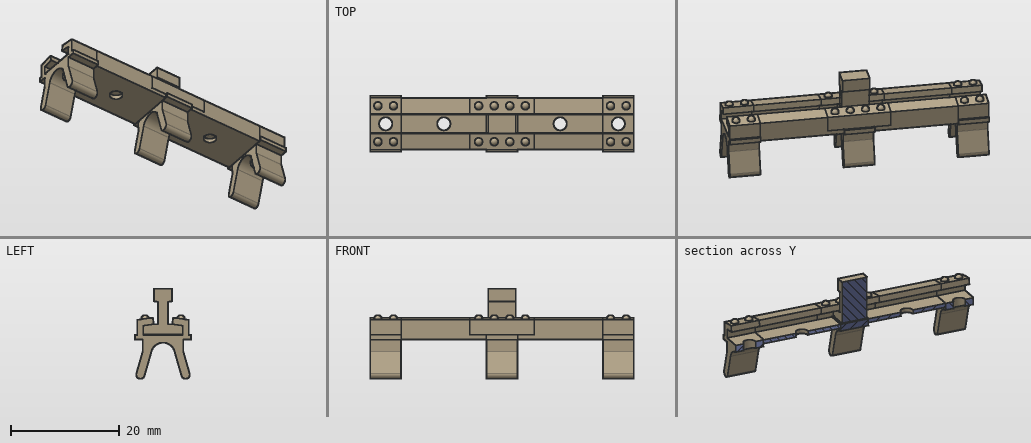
import cadquery as cq
import math

total_length = 48.8
clip_length = 5.75
end_clip_x = (total_length - clip_length) / 2
joiner_length = 11.9
rivet_pitch = clip_length / 2
rail_hole_x = end_clip_x / 2
hole_diameter = 2.4

channel_half_width = 4.8
cavity_half_width = 3.6
lip_half_gap = 1.85
side_height = 2.8
cavity_side_height = 1.7
lip_tilt = math.radians(8)
floor_thickness = 0.9

flange_width = 10.4
neck_half_width = 3.75
arch_radius = 2.2
arch_center_z = -3.65
leg_tilt = math.radians(16)
leg_bottom_z = -8.15
leg_bend_z = -3.05

rivet_radius = 0.75
rivet_sink = 0.05
rivet_y = 3.3

slider_length = 5.15
slider_clearance = 0.1
stem_half_width = 0.95
head_half_width = 1.7
head_edge_z = 6.2
slider_top_z = 8.55


def roof_z(y):
    """Height of the sloping lip top at distance y from the middle plane."""
    return side_height + (channel_half_width - y) * math.tan(lip_tilt)


def ceiling_z(y):
    """Height of the sloping cavity ceiling at distance y from the middle plane."""
    return cavity_side_height + (cavity_half_width - y) * math.tan(lip_tilt)


def lip_bottom_point():
    """Lower inner corner of a lip, whose inner face is square to its top."""
    gap_at_top = roof_z(lip_half_gap) - ceiling_z(lip_half_gap)
    lip_thickness = gap_at_top * math.cos(lip_tilt)
    y = lip_half_gap - lip_thickness * math.sin(lip_tilt)
    return (y, ceiling_z(y))


def bar(section, x_start, x_end):
    """Extrude a closed YZ sketch from x_start to x_end."""
    return section.extrude(x_end - x_start).translate((x_start, 0, 0))


def floor_plate(x_start, x_end, half_width):
    """Flat plate whose top is the channel floor."""
    corners = [
        (-half_width, -floor_thickness),
        (half_width, -floor_thickness),
        (half_width, 0),
        (-half_width, 0),
    ]
    return bar(cq.Workplane("YZ").polyline(corners).close(), x_start, x_end)


def side_walls(x_start, x_end):
    """Both walls of the channel above the floor, with their inward lips."""
    half = [
        (cavity_half_width, 0),
        (channel_half_width, 0),
        (channel_half_width, side_height),
        (lip_half_gap, roof_z(lip_half_gap)),
        lip_bottom_point(),
        (cavity_half_width, cavity_side_height),
    ]
    wall = bar(cq.Workplane("YZ").polyline(half).close(), x_start, x_end)
    return wall.union(wall.mirror("XZ"))


def legs(x_center):
    """Neck and two splayed legs under the floor, with a round arch between them."""
    c = math.cos(leg_tilt)
    s = math.sin(leg_tilt)
    bend_offset = neck_half_width * c + (leg_bend_z - arch_center_z) * s
    tip_radius = (bend_offset - arch_radius) / 2
    tip_z = leg_bottom_z + tip_radius
    tip_y = (arch_radius + tip_radius - (tip_z - arch_center_z) * s) / c
    tip_outer = (tip_y + tip_radius * c, tip_z + tip_radius * s)
    tip_end = (tip_y + tip_radius * s, tip_z - tip_radius * c)
    tip_inner = (tip_y - tip_radius * c, tip_z - tip_radius * s)
    arch_start = (arch_radius * c, arch_center_z + arch_radius * s)
    arch_top = (0, arch_center_z + arch_radius)

    def mirrored(point):
        return (-point[0], point[1])

    section = (
        cq.Workplane("YZ")
        .moveTo(-neck_half_width, -floor_thickness)
        .lineTo(neck_half_width, -floor_thickness)
        .lineTo(neck_half_width, leg_bend_z)
        .lineTo(*tip_outer)
        .threePointArc(tip_end, tip_inner)
        .lineTo(*arch_start)
        .threePointArc(arch_top, mirrored(arch_start))
        .lineTo(*mirrored(tip_inner))
        .threePointArc(mirrored(tip_end), mirrored(tip_outer))
        .lineTo(-neck_half_width, leg_bend_z)
        .close()
    )
    return bar(section, x_center - clip_length / 2, x_center + clip_length / 2)


def add_rivets(body, x_positions):
    """Round rivet heads on both lips at each X position."""
    z = roof_z(rivet_y) - rivet_sink
    for x in x_positions:
        for side in (-1, 1):
            head = cq.Workplane("XY").sphere(rivet_radius).translate((x, side * rivet_y, z))
            body = body.union(head)
    return body


def drill(body, x):
    """Vertical through hole in the floor."""
    depth = slider_top_z - leg_bottom_z
    hole = cq.Workplane("XY").circle(hole_diameter / 2).extrude(depth)
    return body.cut(hole.translate((x, 0, leg_bottom_z)))


def clip(x_center, upper_length):
    """Flange plate with legs below and channel walls of the given length above."""
    start = x_center - clip_length / 2
    end = x_center + clip_length / 2
    body = floor_plate(start, end, flange_width / 2).union(legs(x_center))
    return body.union(side_walls(x_center - upper_length / 2, x_center + upper_length / 2))


def end_clip(x_center):
    """Clip at one end of the track, with a hole through its floor and arch."""
    rivets = [x_center - rivet_pitch / 2, x_center + rivet_pitch / 2]
    body = add_rivets(clip(x_center, clip_length), rivets)
    return drill(body, x_center)


def center_clip():
    """Middle clip whose walls run past its flange as wings over the rail ends."""
    rivet_steps = (-1.5, -0.5, 0.5, 1.5)
    return add_rivets(clip(0, joiner_length), [rivet_pitch * step for step in rivet_steps])


def rail(side):
    """Channel between the clips; its floor runs on under the wing of the centre clip."""
    inner = clip_length / 2
    outer = end_clip_x - clip_length / 2
    body = floor_plate(inner, outer, channel_half_width)
    body = body.union(side_walls(joiner_length / 2, outer))
    body = drill(body, rail_hole_x)
    return body if side > 0 else body.mirror("YZ")


def slider():
    """T-shaped slider: a wide base under the lips, a narrow stem and a head."""
    lip_y = lip_bottom_point()[0]
    head_slope_drop = (head_half_width - stem_half_width) * math.tan(lip_tilt)
    half = [
        (0, slider_clearance),
        (cavity_half_width, slider_clearance),
        (cavity_half_width, cavity_side_height),
        (lip_y, ceiling_z(lip_y)),
        (stem_half_width, ceiling_z(lip_y)),
        (stem_half_width, head_edge_z - head_slope_drop),
        (head_half_width, head_edge_z),
        (head_half_width, slider_top_z),
        (0, slider_top_z),
    ]
    body = bar(cq.Workplane("YZ").polyline(half).close(), -slider_length / 2, slider_length / 2)
    return body.union(body.mirror("XZ"))


end_clips = [end_clip(side * end_clip_x) for side in (-1, 1)]
rails = [rail(side) for side in (-1, 1)]
bodies = [*end_clips, center_clip(), *rails, slider()]
result = cq.Compound.makeCompound([body.val() for body in bodies])